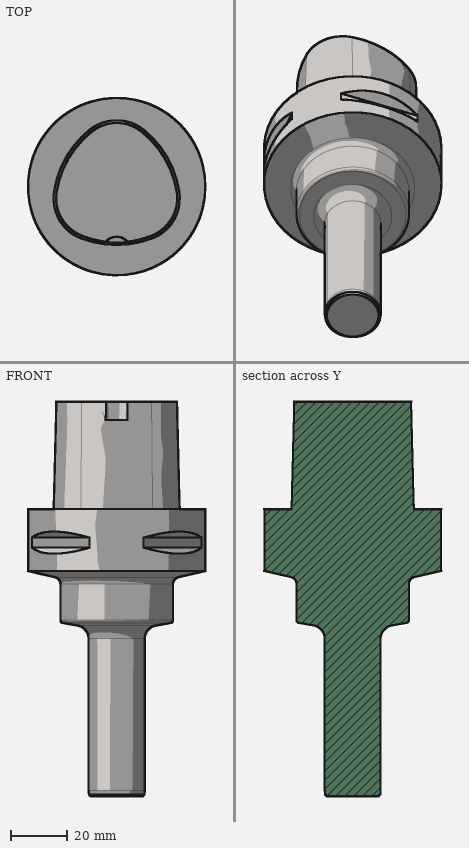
import cadquery as cq
import math

overall_length = 140.0
flange_radius = 31.5
flange_bottom = -22.0
neck_radius = 20.0
neck_top = -26.6
neck_bottom = -39.3
neck_edge_round = 1.1
shank_radius = 10.01
shank_top = -45.9
shank_lead_height = 2.1
shank_lead_inset = 0.1
shank_chamfer = 0.7
flange_slope = math.radians(13)
neck_slope = math.radians(10)

polygon_height = 38.1
flat_distance = 20.7
lobe_distance = 23.5
flat_radius = 35.0
polygon_taper = math.degrees(math.atan(1 / 40))

notch_radius = 4.9
notch_depth = 6.5
notch_innermost = 17.8

groove_count = 4
groove_z = -11.9
groove_floor_distance = 28.0
groove_floor_height = 3.5
groove_wall_angle = math.radians(32)
groove_margin = 1.4

shank_bottom = polygon_height - overall_length


def polar(radius, degrees):
    angle = math.radians(degrees)
    return radius * math.cos(angle), radius * math.sin(angle)


def make_polygon():
    """Six tangent arcs: three broad sides and three lobes, narrowing upward."""
    flat_center = flat_radius - flat_distance
    lobe_radius = (
        flat_radius**2 - flat_center**2 - lobe_distance**2 - flat_center * lobe_distance
    ) / (2 * flat_radius - 2 * lobe_distance - flat_center)
    lobe_center = lobe_distance - lobe_radius
    half_sweep = math.asin(
        lobe_center * math.sin(math.radians(120)) / (flat_radius - lobe_radius)
    )
    joint_x = flat_radius * math.sin(half_sweep)
    joint_y = flat_center - flat_radius * math.cos(half_sweep)
    joint_distance = math.hypot(joint_x, joint_y)
    joint_angle = math.degrees(math.atan2(joint_x, -joint_y))

    outline = cq.Workplane("XY").moveTo(*polar(joint_distance, -90 - joint_angle))
    for side_angle in (-90, 30, 150):
        outline = outline.threePointArc(
            polar(flat_distance, side_angle),
            polar(joint_distance, side_angle + joint_angle),
        ).threePointArc(
            polar(lobe_distance, side_angle + 60),
            polar(joint_distance, side_angle + 120 - joint_angle),
        )
    return outline.close().extrude(polygon_height, taper=polygon_taper)


def blend_to_cylinder(profile, cone_radius, cone_z, cylinder_radius, cylinder_z, slope):
    """Add a downward cone and a concave arc tangent to it and to the cylinder below."""
    cos_slope = math.cos(slope)
    sin_slope = math.sin(slope)
    tan_slope = math.tan(slope)
    drop = cone_z - (cone_radius - cylinder_radius) * tan_slope - cylinder_z
    radius = drop * cos_slope / (1 - sin_slope)
    center_r = cylinder_radius + radius
    middle_angle = (math.pi / 2 + slope + math.pi) / 2
    middle = (
        center_r + radius * math.cos(middle_angle),
        cylinder_z + radius * math.sin(middle_angle),
    )
    cone_end = (center_r - radius * sin_slope, cylinder_z + radius * cos_slope)
    return profile.lineTo(*cone_end).threePointArc(middle, (cylinder_radius, cylinder_z))


def make_turned_body():
    neck_face_radius = neck_radius - neck_edge_round
    neck_face_z = neck_bottom - neck_edge_round
    chamfer_radius = shank_radius - shank_lead_inset
    round_reach = neck_edge_round * math.sqrt(0.5)

    profile = (
        cq.Workplane("XZ")
        .moveTo(0, 0)
        .lineTo(flange_radius, 0)
        .lineTo(flange_radius, flange_bottom)
    )
    profile = blend_to_cylinder(
        profile, flange_radius, flange_bottom, neck_radius, neck_top, flange_slope
    )
    profile = profile.lineTo(neck_radius, neck_bottom).threePointArc(
        (neck_face_radius + round_reach, neck_bottom - round_reach),
        (neck_face_radius, neck_face_z),
    )
    profile = blend_to_cylinder(
        profile, neck_face_radius, neck_face_z, shank_radius, shank_top, neck_slope
    )
    return (
        profile.lineTo(shank_radius, shank_bottom + shank_lead_height)
        .lineTo(chamfer_radius, shank_bottom + shank_chamfer)
        .lineTo(chamfer_radius - shank_chamfer, shank_bottom)
        .lineTo(0, shank_bottom)
        .close()
        .revolve(360, (0, 0, 0), (0, 1, 0))
    )


def make_notch():
    return (
        cq.Workplane("XY", origin=(0, 0, polygon_height - notch_depth))
        .center(0, -notch_innermost - notch_radius)
        .circle(notch_radius)
        .extrude(notch_depth)
    )


def make_groove(angle):
    """Straight groove with a flat floor and flared walls, cut across the rim."""
    outer_distance = flange_radius + groove_margin
    inner_half = groove_floor_height / 2
    flare = (outer_distance - groove_floor_distance) * math.tan(groove_wall_angle)
    outer_half = inner_half + flare
    return (
        cq.Workplane("XZ", origin=(0, 0, groove_z))
        .moveTo(groove_floor_distance, -inner_half)
        .lineTo(outer_distance, -outer_half)
        .lineTo(outer_distance, outer_half)
        .lineTo(groove_floor_distance, inner_half)
        .close()
        .extrude(flange_radius, both=True)
        .rotate((0, 0, 0), (0, 0, 1), angle)
    )


result = make_turned_body().union(make_polygon()).cut(make_notch())
for index in range(groove_count):
    result = result.cut(make_groove((index + 0.5) * 360 / groove_count))